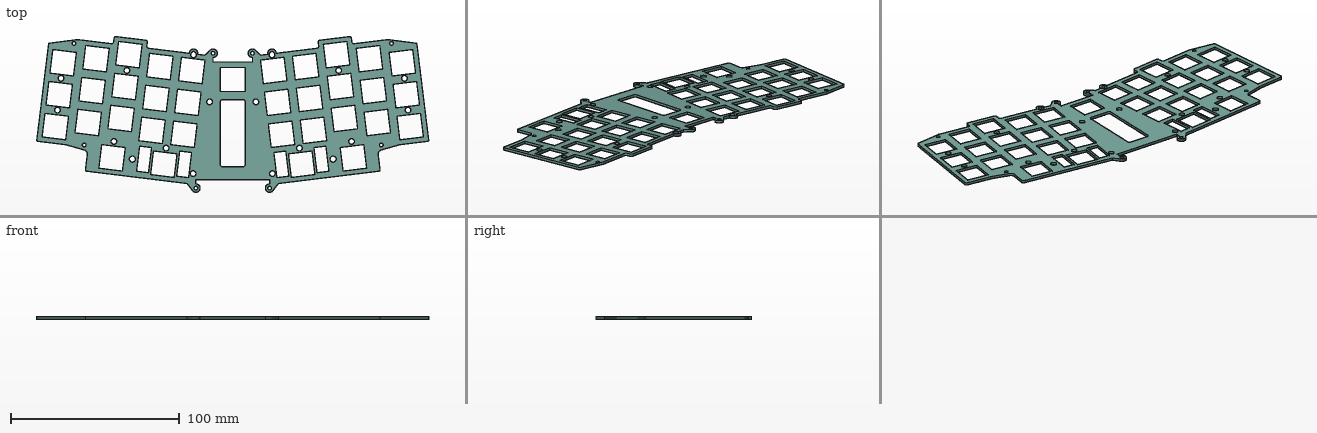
import cadquery as cq
import math


plate_width = 232.3
thickness = 1.58
wing_tilt = 7.0
tilt_cosine = math.cos(math.radians(wing_tilt))
tilt_sine = math.sin(math.radians(wing_tilt))

key_pitch = 19.0
key_opening = 14.0
key_rows = 3
outer_column_top_y = 18.1
column_steps = [0, 1, 2, 1, 1]
column_stagger = key_pitch / 4
thumb_row_drop = 2.75
thumb_row_y = outer_column_top_y - thumb_row_drop * key_pitch
thumb_key_x = -67.8
wide_key_x = -37.0

stabiliser_spacing = 24.0
stabiliser_width = 7.0
stabiliser_height = 14.9
stabiliser_rise = 1.5

side_rim = 3.0
top_rim = 3.0
tall_top_rim = 2.8
bottom_rim = 3.0
thumb_rim = 2.8
corner_radius = 1.0
step_radius = 1.2
shoulder_radius = 2.3

half_opening = key_opening / 2
wing_top = outer_column_top_y + column_stagger + half_opening + top_rim
wing_bottom = outer_column_top_y - (key_rows - 1) * key_pitch - half_opening - bottom_rim
thumb_bottom = thumb_row_y - half_opening - thumb_rim
corner_arc_y = wing_bottom + corner_radius
corner_arc_x = (corner_radius - plate_width / 2 - corner_arc_y * tilt_sine) / tilt_cosine
wing_left = corner_arc_x - corner_radius
outer_column_x = wing_left + side_rim + half_opening
tall_column_x = outer_column_x + 2 * key_pitch
tall_left = tall_column_x - half_opening - side_rim
tall_right = tall_column_x + half_opening + side_rim
tall_top = outer_column_top_y + 2 * column_stagger + half_opening + tall_top_rim
outer_corner_y = 28.5
top_bend_x = -96.6
bottom_bend_x = -95.7
thumb_left = -82.7
thumb_shoulder_y = -32.0
inner_top_x = -20.7
inner_bottom_x = -21.8

spine_top = 31.1
spine_bottom = -38.8
lug_radius = 2.5
upper_lug = (-11.5, 36.2)
ear_lug = (-23.2, 36.2)
lower_lug = (-21.8, -43.7)

window_width = 14.6
small_window_height = 14.2
small_window_y = 20.7
long_window_height = 39.5
long_window_y = -11.1
long_window_radius = 1.2

screw_diameter = 3.3
large_screw_diameter = 3.5
pin_diameter = 2.0
screw_holes = [
    (-23.2, 35.3),
    (-62.7, 26.0),
    (-101.7, 21.4),
    (-103.8, 2.5),
    (-70.4, -16.0),
    (-39.5, -20.0),
    (-13.7, 7.5),
    (-23.5, -35.0),
]
large_screw_holes = [(-59.5, -26.5)]
pin_holes = [upper_lug, ear_lug, lower_lug, (-94.0, 42.0), (-88.0, -18.1)]


def tilted(point):
    """Plate coordinates of a point given in wing coordinates."""
    x, y = point
    return (x * tilt_cosine + y * tilt_sine, y * tilt_cosine - x * tilt_sine)


def tilt(body):
    """Turn a body from wing coordinates to plate coordinates."""
    return body.rotate((0, 0, 0), (0, 0, 1), -wing_tilt)


def tangent_point(start, centre, radius, side):
    """Where a line from start touches a circle; side +1 is on the right, -1 on the left."""
    dx = start[0] - centre[0]
    dy = start[1] - centre[1]
    angle = math.atan2(dy, dx) + side * math.acos(radius / math.hypot(dx, dy))
    return (centre[0] + radius * math.cos(angle), centre[1] + radius * math.sin(angle))


def disc(centre, radius):
    return cq.Workplane("XY").center(*centre).circle(radius).extrude(thickness)


def block(centre, width, height):
    return cq.Workplane("XY").center(*centre).rect(width, height).extrude(thickness)


def round_corners(body, corners, radius):
    for corner in corners:
        nearest = cq.selectors.NearestToPointSelector((*corner, thickness / 2))
        body = body.edges("|Z").edges(nearest).fillet(radius)
    return body


def make_wing():
    """Left wing without openings, tilted into place."""
    outer_corners = [
        (wing_left, wing_bottom),
        (wing_left, outer_corner_y),
        (thumb_left, thumb_bottom),
    ]
    step_corners = [
        (tall_left, wing_top),
        (tall_left, tall_top),
        (tall_right, tall_top),
        (tall_right, wing_top),
    ]
    outline = [
        (wing_left, wing_bottom),
        (wing_left, outer_corner_y),
        (top_bend_x, wing_top),
        (tall_left, wing_top),
        (tall_left, tall_top),
        (tall_right, tall_top),
        (tall_right, wing_top),
        (inner_top_x, wing_top),
        (inner_bottom_x, thumb_bottom),
        (thumb_left, thumb_bottom),
        (thumb_left, thumb_shoulder_y),
        (bottom_bend_x, wing_bottom),
    ]
    wing = cq.Workplane("XY").polyline(outline).close().extrude(thickness)
    wing = round_corners(wing, outer_corners, corner_radius)
    wing = round_corners(wing, step_corners, step_radius)
    wing = round_corners(wing, [(thumb_left, thumb_shoulder_y)], shoulder_radius)
    return tilt(wing)


def make_key_openings():
    """Cutters for the left wing's key openings and stabiliser slots, as one tilted body."""
    keys = [(thumb_key_x, thumb_row_y), (wide_key_x, thumb_row_y)]
    for column, step in enumerate(column_steps):
        for row in range(key_rows):
            x = outer_column_x + column * key_pitch
            y = outer_column_top_y + step * column_stagger - row * key_pitch
            keys.append((x, y))
    slot_y = thumb_row_y + stabiliser_rise
    slots = [(wide_key_x + side * stabiliser_spacing / 2, slot_y) for side in (-1, 1)]

    plane = cq.Workplane("XY")
    openings = plane.pushPoints(keys).rect(key_opening, key_opening).extrude(thickness)
    stabilisers = plane.pushPoints(slots).rect(stabiliser_width, stabiliser_height)
    return tilt(openings.union(stabilisers.extrude(thickness)))


def make_half_spine():
    """Left half of the spine, with the arms that carry the two lugs."""
    wing_top_corner = tilted((inner_top_x, wing_top))
    wing_bottom_corner = tilted((inner_bottom_x, thumb_bottom))
    outline = [
        wing_top_corner,
        tangent_point(wing_top_corner, upper_lug, lug_radius, -1),
        upper_lug,
        (upper_lug[0], spine_top),
        (0, spine_top),
        (0, spine_bottom),
        (lower_lug[0], spine_bottom),
        lower_lug,
        tangent_point(wing_bottom_corner, lower_lug, lug_radius, 1),
        wing_bottom_corner,
    ]
    spine = cq.Workplane("XY").polyline(outline).close().extrude(thickness)
    for lug in (upper_lug, lower_lug):
        spine = spine.union(disc(lug, lug_radius))
    return spine


def cut_holes(body, centres, diameter):
    for centre in centres:
        body = body.cut(disc(centre, diameter / 2))
    return body


half = make_wing().union(make_half_spine())
half = half.union(disc(ear_lug, lug_radius))
half = half.cut(make_key_openings())
half = cut_holes(half, screw_holes, screw_diameter)
half = cut_holes(half, large_screw_holes, large_screw_diameter)
half = cut_holes(half, pin_holes, pin_diameter)

result = half.union(half.mirror("YZ"))
result = result.cut(block((0, small_window_y), window_width, small_window_height))
long_window = block((0, long_window_y), window_width, long_window_height)
result = result.cut(long_window.edges("|Z").fillet(long_window_radius))